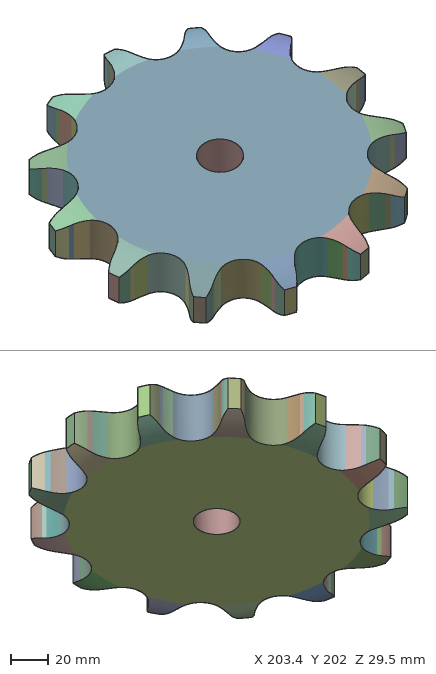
import cadquery as cq
import math


teeth = 13
pitch_diameter = 185.7
roller_diameter = 27.9
tip_radius = 102.1
thickness = 29.5
bore_diameter = 25.0
relief_start_radius = 81.8
relief_arc_radius = 43.7
seating_clearance = 0.039

pitch_radius = pitch_diameter / 2
tooth_step = 360 / teeth
half_step = math.radians(tooth_step / 2)
seating_angle = math.radians(35 + 60 / teeth)
working_angle = math.radians(18 - 56 / teeth)
topping_angle = math.radians(17 - 64 / teeth)
flat_angle = seating_angle - working_angle
topping_end_angle = math.radians(60)

seating_radius = 0.5025 * roller_diameter + seating_clearance
working_offset = 0.8 * roller_diameter
working_radius = seating_radius + working_offset
topping_offset = 1.4 * roller_diameter
flat_length = topping_offset * math.sin(topping_angle) - working_offset * math.sin(working_angle)
topping_radius = (
    working_offset * math.cos(working_angle)
    + topping_offset * math.cos(topping_angle)
    - working_radius
)


def polar(center, radius, angle):
    """Point at the given radius and angle (radians) around a center."""
    return (center[0] + radius * math.cos(angle), center[1] + radius * math.sin(angle))


def mirrored(point):
    """Point reflected across the center line of the tooth gap."""
    return (-point[0], point[1])


def make_blank():
    """Disc whose rim narrows toward the tooth tips by tangent arcs on both sides."""
    half_thickness = thickness / 2
    arc_center = (relief_start_radius, half_thickness - relief_arc_radius)
    end_angle = math.acos((tip_radius - relief_start_radius) / relief_arc_radius)
    middle = polar(arc_center, relief_arc_radius, (math.pi / 2 + end_angle) / 2)
    tip = polar(arc_center, relief_arc_radius, end_angle)
    return (
        cq.Workplane("XZ")
        .moveTo(0, -half_thickness)
        .lineTo(relief_start_radius, -half_thickness)
        .threePointArc((middle[0], -middle[1]), (tip[0], -tip[1]))
        .lineTo(*tip)
        .threePointArc(middle, (relief_start_radius, half_thickness))
        .lineTo(0, half_thickness)
        .close()
        .revolve(360, (0, 0, 0), (0, 1, 0))
    )


def make_gap_cutter():
    """Tooth gap opening toward +Y: seating, working, flat and topping stretches on each side."""
    seat_center = (0, pitch_radius)
    working_center = polar(seat_center, working_offset, seating_angle)
    topping_center = polar(seat_center, topping_offset, math.pi + half_step)

    root = (0, pitch_radius - seating_radius)
    seat_end = polar(seat_center, seating_radius, math.pi + seating_angle)
    working_middle = polar(working_center, working_radius, math.pi + (seating_angle + flat_angle) / 2)
    working_end = polar(working_center, working_radius, math.pi + flat_angle)
    flat_end = polar(working_end, flat_length, math.pi / 2 + flat_angle)
    topping_middle = polar(topping_center, topping_radius, (flat_angle + topping_end_angle) / 2)
    topping_end = polar(topping_center, topping_radius, topping_end_angle)

    return (
        cq.Workplane("XY")
        .workplane(offset=-thickness)
        .moveTo(*seat_end)
        .threePointArc(working_middle, working_end)
        .lineTo(*flat_end)
        .threePointArc(topping_middle, topping_end)
        .lineTo(*mirrored(topping_end))
        .threePointArc(mirrored(topping_middle), mirrored(flat_end))
        .lineTo(*mirrored(working_end))
        .threePointArc(mirrored(working_middle), mirrored(seat_end))
        .threePointArc(root, seat_end)
        .close()
        .extrude(2 * thickness)
    )


sprocket = make_blank()

gap_cutter = make_gap_cutter()
for index in range(teeth):
    sprocket = sprocket.cut(gap_cutter.rotate((0, 0, 0), (0, 0, 1), index * tooth_step))

result = sprocket.faces(">Z").workplane(origin=(0, 0, 0)).hole(bore_diameter)